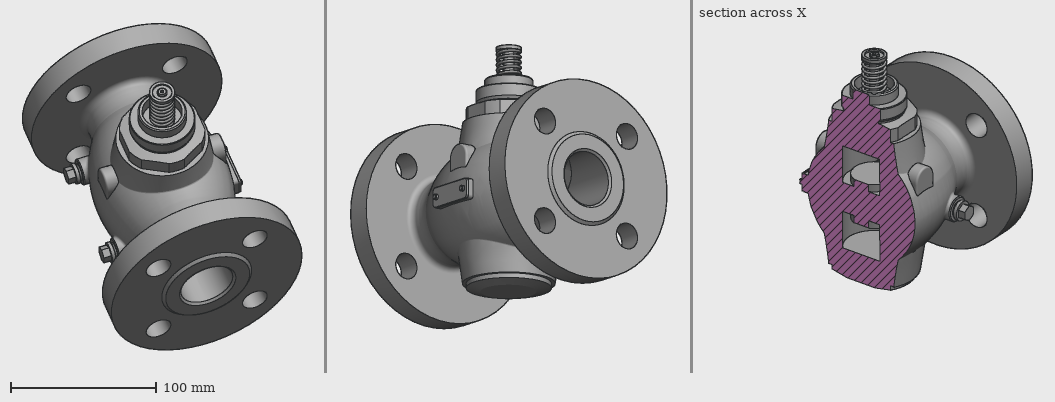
import cadquery as cq
import math

overall_length = 180.0
flange_radius = 70.0
overall_height = 181.3
stem_top_z = overall_height - flange_radius
overlap = 1.8

raised_face_height = 2.0
raised_face_base_radius = 33.0
raised_face_tip_radius = 30.8
flange_thickness = 18.0
flange_outer_x = overall_length / 2 - raised_face_height
flange_inner_x = flange_outer_x - flange_thickness
bolt_offset = 35.4
bolt_hole_diameter = 18.1

neck_radius = 30.5
neck_fillet = 4.5
neck_inner_x = 62.0
bulge_start_x = 51.3
bulge_start_radius = 32.6
bulge_radius = 47.7

bore_radius = 19.0
bore_mouth_radius = 20.7
bore_mouth_chamfer = bore_mouth_radius - bore_radius
wall_start_x = -67.8
wall_top_x, wall_top_z = -54.4, 14.1
wall_foot_x, wall_foot_z = -29.0, -7.0
wall_lip_x = -16.5
chamber_radius = 21.8
chamber_roof_z = -11.6
chamber_floor_z = -39.9
seat_radius = 16.3
seat_end_z = -17.2

cone_end_radius = 31.9
cone_end_z = 56.5
cone_root_z = 18.1
cone_slope = 0.15
cone_root_radius = cone_end_radius + cone_slope * (cone_end_z - cone_root_z)
cone_fillet = 0.9
cap_radius = 29.4
cap_bottom_z = -62.5
cap_chamfer_height = 2.7
cap_face_radius = 19.2

hex_across_flats = 55.5
hex_corner_radius = 29.4
hex_edge_z = 66.7
hex_top_z = 68.0
groove_radius = 21.2
groove_top_z = 69.5
collar_radius = 22.7
collar_taper_radius = 21.5
collar_taper_z = 71.5
collar_top_z = 80.1
collar_chamfer = 0.5
sleeve_radius = 16.7
sleeve_inner_radius = 13.8
sleeve_top_z = 88.1
sleeve_chamfer = 0.9
sleeve_floor_z = 78.9

stem_radius = 3.5
stem_chamfer = 0.7
stem_hole_radius = 1.0
stem_hole_depth = 2.2
wire_diameter = 2.0
spring_outer_radius = 8.7
spring_mean_radius = spring_outer_radius - wire_diameter / 2
spring_pitch = 3.8
end_coil_top_z = 110.8
end_coil_bottom_z = 108.2
retainer_top_z = 109.5

lug_half_width = 9.6
lug_top_z = 36.0
lug_bottom_z = 14.5
lug_face_y = 43.9
lug_root_y = 25.4
lug_edge_fillet = 1.5

plug_positions = [(-36.8, -8.0), (33.0, -10.2)]
plug_boss_radius = 9.2
plug_boss_root_y = 25.4
plug_boss_face_y = 47.1
plug_boss_chamfer = 0.7
plug_boss_fillet = 1.6
plug_washer_radius = 7.3
plug_washer_face_y = 51.3
plug_neck_radius = 6.2
plug_neck_length = 1.5
plug_hex_across_flats = 10.0
plug_hex_turn = 30
plug_head_y = 56.7

pad_length = 38.6
pad_height = 14.5
pad_corner_radius = 2.5
pad_root_y = 36.3
pad_face_y = 49.3
plate_margin = 0.27
plate_face_y = 51.0
rivet_spacing = 30.1
rivet_radius = 2.0
rivet_top_y = 53.0
rivet_chamfer = 0.5


def disc(radius, z_bottom, z_top):
    """Upright cylinder on the Z axis."""
    return cq.Workplane("XY").workplane(offset=z_bottom).circle(radius).extrude(z_top - z_bottom)


def turned_about_z(points):
    """Solid of revolution about Z; points are (radius, z), starting and ending on the axis."""
    return cq.Workplane("XZ").polyline(points).close().revolve(360, (0, 0, 0), (0, 1, 0))


def rod_along_y(radius, x, z, y_from, y_to):
    """Cylinder along Y centred at (x, z)."""
    direction = cq.Vector(0, math.copysign(1, y_to - y_from), 0)
    rod = cq.Solid.makeCylinder(radius, abs(y_to - y_from), cq.Vector(x, y_from, z), direction)
    return cq.Workplane(obj=rod)


def make_body():
    """Flanges, necks and bulge turned about X in a single profile."""
    face_x = overall_length / 2
    fillet_end_x = flange_inner_x - neck_fillet
    fillet_mid = neck_fillet * (1 - math.sqrt(0.5))
    arc_run = neck_inner_x - bulge_start_x
    arc_rise = bulge_start_radius - neck_radius
    arc_radius = (arc_run**2 + arc_rise**2) / (2 * arc_rise)
    half_angle = math.atan2(arc_rise, arc_run)
    arc_mid_x = neck_inner_x - arc_radius * math.sin(half_angle)
    arc_mid_radius = neck_radius + arc_radius * (1 - math.cos(half_angle))
    profile = (
        cq.Workplane("XY")
        .moveTo(-face_x, 0)
        .lineTo(-face_x, raised_face_tip_radius)
        .lineTo(-flange_outer_x, raised_face_base_radius)
        .lineTo(-flange_outer_x, flange_radius)
        .lineTo(-flange_inner_x, flange_radius)
        .lineTo(-flange_inner_x, neck_radius + neck_fillet)
        .threePointArc(
            (-flange_inner_x + fillet_mid, neck_radius + fillet_mid),
            (-fillet_end_x, neck_radius),
        )
        .lineTo(-neck_inner_x, neck_radius)
        .threePointArc((-arc_mid_x, arc_mid_radius), (-bulge_start_x, bulge_start_radius))
        .threePointArc((0, bulge_radius), (bulge_start_x, bulge_start_radius))
        .threePointArc((arc_mid_x, arc_mid_radius), (neck_inner_x, neck_radius))
        .lineTo(fillet_end_x, neck_radius)
        .threePointArc(
            (flange_inner_x - fillet_mid, neck_radius + fillet_mid),
            (flange_inner_x, neck_radius + neck_fillet),
        )
        .lineTo(flange_inner_x, flange_radius)
        .lineTo(flange_outer_x, flange_radius)
        .lineTo(flange_outer_x, raised_face_base_radius)
        .lineTo(face_x, raised_face_tip_radius)
        .lineTo(face_x, 0)
        .close()
    )
    body = profile.revolve(360, (0, 0, 0), (1, 0, 0))
    bolt_holes = (
        cq.Workplane("YZ")
        .workplane(offset=-overall_length / 2)
        .rect(2 * bolt_offset, 2 * bolt_offset, forConstruction=True)
        .vertices()
        .circle(bolt_hole_diameter / 2)
        .extrude(overall_length)
    )
    between_flanges = cq.Workplane("XY").box(
        2 * flange_inner_x, 2 * flange_radius, 2 * flange_radius
    )
    return body.cut(bolt_holes.cut(between_flanges))


def add_cones(body):
    """Join tapered necks above and below, the lower one capped, and fillet their roots."""
    cones = turned_about_z([
        (0, cone_end_z),
        (cone_end_radius, cone_end_z),
        (cone_root_radius, cone_root_z),
        (cone_root_radius, -cone_root_z),
        (cone_end_radius, -cone_end_z),
        (cap_radius, -cone_end_z),
        (cap_radius, cap_bottom_z + cap_chamfer_height),
        (cap_face_radius, cap_bottom_z),
        (0, cap_bottom_z),
    ])
    body = body.union(cones)

    def seam_zone(z_low, z_high):
        reach = cone_root_radius
        return cq.selectors.BoxSelector(
            (-reach, -reach, z_low), (reach, reach, z_high), boundingbox=True
        )

    upper_seam = seam_zone(cone_root_z, cone_end_z)
    lower_seam = seam_zone(-cone_end_z, -cone_root_z)
    return body.edges("%BSPLINE").edges(upper_seam + lower_seam).fillet(cone_fillet)


def make_bonnet():
    """Hexagon with turned corners, then the grooved collar and the open sleeve."""
    hexagon = (
        cq.Workplane("XY")
        .workplane(offset=cone_end_z)
        .polygon(6, hex_across_flats / math.cos(math.pi / 6))
        .extrude(hex_top_z - cone_end_z)
    )
    hex_envelope = turned_about_z([
        (0, cone_end_z),
        (hex_corner_radius, cone_end_z),
        (hex_corner_radius, hex_edge_z),
        (collar_radius, hex_top_z),
        (0, hex_top_z),
    ])
    turned = turned_about_z([
        (0, cone_end_z),
        (groove_radius, cone_end_z),
        (groove_radius, groove_top_z),
        (collar_taper_radius, groove_top_z),
        (collar_radius, collar_taper_z),
        (collar_radius, collar_top_z - collar_chamfer),
        (collar_radius - collar_chamfer, collar_top_z),
        (sleeve_radius, collar_top_z),
        (sleeve_radius, sleeve_top_z - sleeve_chamfer),
        (sleeve_radius - sleeve_chamfer, sleeve_top_z),
        (sleeve_inner_radius, sleeve_top_z),
        (sleeve_inner_radius, sleeve_floor_z),
        (0, sleeve_floor_z),
    ])
    return hexagon.intersect(hex_envelope).union(turned)


def make_stem_and_spring():
    """Stem with a retainer disc, the coil spring around it and its closed end coil."""
    stem = disc(stem_radius, sleeve_floor_z - overlap, stem_top_z).faces(">Z").chamfer(stem_chamfer)
    stem = stem.cut(disc(stem_hole_radius, stem_top_z - stem_hole_depth, stem_top_z))
    end_coil = disc(spring_outer_radius, end_coil_bottom_z, end_coil_top_z)
    end_coil = end_coil.cut(
        disc(spring_outer_radius - wire_diameter, retainer_top_z, end_coil_top_z)
    )
    spring_height = end_coil_bottom_z - sleeve_floor_z
    helix = cq.Wire.makeHelix(
        spring_pitch, spring_height, spring_mean_radius, center=cq.Vector(0, 0, sleeve_floor_z)
    )
    coil = (
        cq.Workplane("XZ", origin=(spring_mean_radius, 0, sleeve_floor_z))
        .circle(wire_diameter / 2)
        .sweep(cq.Workplane(obj=helix), isFrenet=True)
    )
    return coil.union(end_coil).union(stem)


def make_lug():
    """Arch-topped lug standing out toward -Y, with its face edge rounded."""
    arch_z = lug_top_z - lug_half_width
    return (
        cq.Workplane("XZ", origin=(0, -lug_root_y, 0))
        .moveTo(-lug_half_width, lug_bottom_z)
        .lineTo(-lug_half_width, arch_z)
        .threePointArc((0, lug_top_z), (lug_half_width, arch_z))
        .lineTo(lug_half_width, lug_bottom_z)
        .close()
        .extrude(lug_face_y - lug_root_y)
        .faces("<Y")
        .edges("not <Z")
        .fillet(lug_edge_fillet)
    )


def add_plug_boss(body, x, z):
    """Join a round boss on the -Y side to the body and fillet its root."""
    boss = rod_along_y(plug_boss_radius, x, z, -plug_boss_root_y, -plug_boss_face_y)
    body = body.union(boss.faces("<Y").chamfer(plug_boss_chamfer))
    reach = plug_boss_radius + plug_boss_fillet
    around_boss = cq.selectors.BoxSelector(
        (x - reach, -plug_boss_face_y, z - reach),
        (x + reach, -plug_boss_root_y, z + reach),
        boundingbox=True,
    )
    return body.edges(around_boss).edges("%BSPLINE").fillet(plug_boss_fillet)


def make_drain_plug(x, z):
    """Waisted, hexagon-headed plug on the -Y side."""
    neck = rod_along_y(plug_neck_radius, x, z, -plug_boss_root_y, -plug_washer_face_y)
    washer = rod_along_y(
        plug_washer_radius, x, z, -plug_boss_face_y - plug_neck_length, -plug_washer_face_y
    )
    head = (
        cq.Workplane("XZ", origin=(x, -plug_boss_root_y, z))
        .transformed(rotate=(0, 0, plug_hex_turn))
        .polygon(6, plug_hex_across_flats / math.cos(math.pi / 6))
        .extrude(plug_head_y - plug_boss_root_y)
    )
    return neck.union(washer).union(head)


def make_nameplate():
    """Rounded pad on the +Y side with a thin riveted plate."""
    def layer(length, height, y_from, y_to):
        return (
            cq.Workplane("XZ", origin=(0, y_to, 0))
            .rect(length, height)
            .extrude(y_to - y_from)
            .edges("|Y")
            .fillet(pad_corner_radius)
        )

    pad = layer(pad_length, pad_height, pad_root_y, pad_face_y)
    plate = layer(
        pad_length - 2 * plate_margin, pad_height - 2 * plate_margin, pad_face_y, plate_face_y
    )
    nameplate = pad.union(plate)
    for side in (-1, 1):
        rivet = rod_along_y(rivet_radius, side * rivet_spacing / 2, 0, pad_root_y, rivet_top_y)
        nameplate = nameplate.union(rivet.faces(">Y").chamfer(rivet_chamfer))
    return nameplate


def make_inlet_passage():
    """Bore from the -X face, closed by a sloping wall, leading down around a seat ring."""
    face_x = -overall_length / 2
    bore = (
        cq.Workplane("YZ", origin=(face_x, 0, 0))
        .circle(bore_radius)
        .extrude(-face_x)
    )
    wall_reach = bore_radius + overlap
    wall = (
        cq.Workplane("XZ", origin=(0, wall_reach, 0))
        .moveTo(0, chamber_roof_z)
        .lineTo(wall_lip_x, chamber_roof_z)
        .tangentArcPoint((wall_foot_x, wall_foot_z), relative=False)
        .lineTo(wall_top_x, wall_top_z)
        .tangentArcPoint((wall_start_x, bore_radius), relative=False)
        .lineTo(wall_start_x, wall_reach)
        .lineTo(0, wall_reach)
        .close()
        .extrude(2 * wall_reach)
    )
    mouth = cq.Workplane(obj=cq.Solid.makeCone(
        bore_mouth_radius, bore_radius, bore_mouth_chamfer,
        cq.Vector(face_x, 0, 0), cq.Vector(1, 0, 0),
    ))
    chamber = disc(chamber_radius, chamber_floor_z, chamber_roof_z)
    seat = disc(seat_radius, seat_end_z, chamber_roof_z)
    return bore.cut(wall).union(mouth).union(chamber).cut(seat)


lug = make_lug()
inlet = make_inlet_passage()
outlet = inlet.rotate((0, 0, 0), (0, 1, 0), 180)

result = make_body()
for plug_x, plug_z in plug_positions:
    result = add_plug_boss(result, plug_x, plug_z)
result = add_cones(result).union(make_bonnet())
result = result.union(lug).union(lug.mirror("XZ"))
for plug_x, plug_z in plug_positions:
    result = result.union(make_drain_plug(plug_x, plug_z))
result = result.union(make_nameplate()).cut(inlet).cut(outlet)
result = result.union(make_stem_and_spring())